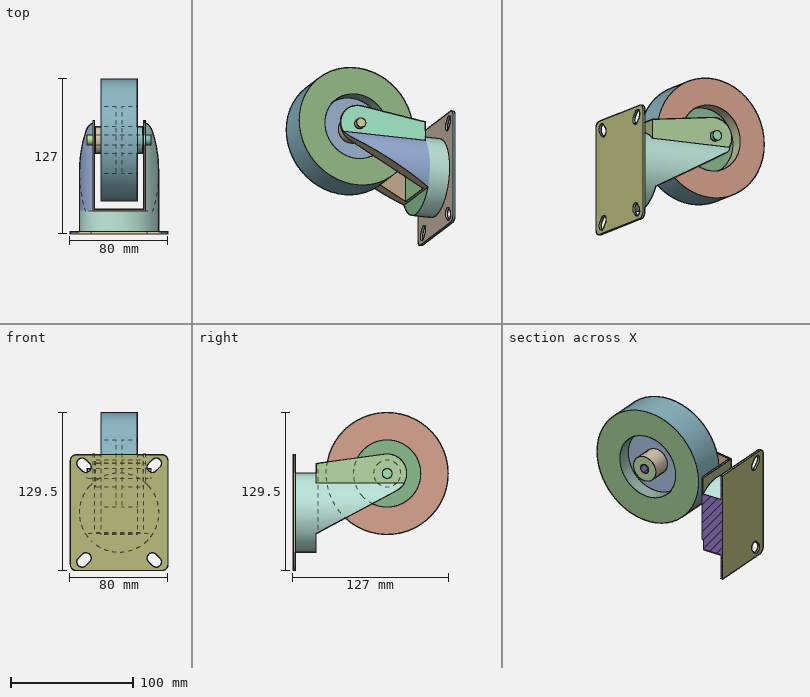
import cadquery as cq
import math


plate_width = 80.0
plate_height = 95.0
plate_thickness = 2.0
plate_corner_radius = 5.0
slot_width = 8.5
slot_centre_spacing = 4.4
slot_pattern_x = 57.5
slot_pattern_z = 77.5
slot_angle = 45.0

body_radius = 32.5
collar_length = 17.0
collar_end_y = plate_thickness + collar_length

fork_thickness = 1.5
fork_gap = 40.0
fork_width = fork_gap + 2 * fork_thickness
fork_end_radius = 16.0
fork_top_z = 40.25
fork_bottom_z = -17.25

axle_y = 77.0
axle_z = 32.0
axle_radius = 4.0
axle_length = 52.5
wheel_radius = 50.0
wheel_width = 30.0
wheel_web_thickness = 5.0
recess_radius = 27.5
hub_radius = 11.0
hub_length = 39.0


def disc(radius, length):
    """Cylinder about the axle line, centred on X = 0."""
    return (
        cq.Workplane("YZ", origin=(-length / 2, axle_y, axle_z))
        .circle(radius)
        .extrude(length)
    )


def fork_tangent_point(corner_z, side):
    """Point where a line from the fork corner at collar_end_y touches the rounded end.

    side is +1 for the upper edge and -1 for the lower edge.
    """
    to_corner_y = collar_end_y - axle_y
    to_corner_z = corner_z - axle_z
    distance = math.hypot(to_corner_y, to_corner_z)
    direction = math.atan2(to_corner_z, to_corner_y)
    angle = direction - side * math.acos(fork_end_radius / distance)
    return (
        axle_y + fork_end_radius * math.cos(angle),
        axle_z + fork_end_radius * math.sin(angle),
    )


def fork_profile(width):
    """Side outline of the fork, extruded to the given width about X = 0."""
    return (
        cq.Workplane("YZ", origin=(-width / 2, 0, 0))
        .moveTo(collar_end_y, fork_bottom_z)
        .lineTo(*fork_tangent_point(fork_bottom_z, -1))
        .threePointArc(
            (axle_y + fork_end_radius, axle_z),
            fork_tangent_point(fork_top_z, 1),
        )
        .lineTo(collar_end_y, fork_top_z)
        .close()
        .extrude(width)
    )


def round_bar(start_y, end_y):
    """Length of the round body between two Y positions."""
    return (
        cq.Workplane("XZ", origin=(0, start_y, 0))
        .circle(body_radius)
        .extrude(start_y - end_y)
    )


def make_plate():
    """Rounded plate with a diagonal slot in each corner."""
    plate = (
        cq.Workplane("XZ")
        .rect(plate_width, plate_height)
        .extrude(-plate_thickness)
        .edges("|Y")
        .fillet(plate_corner_radius)
    )
    for side_x in (-1, 1):
        for side_z in (-1, 1):
            slot = (
                cq.Workplane("XZ")
                .center(side_x * slot_pattern_x / 2, side_z * slot_pattern_z / 2)
                .slot2D(slot_centre_spacing + slot_width, slot_width, side_x * side_z * slot_angle)
                .extrude(-plate_thickness)
            )
            plate = plate.cut(slot)
    return plate


def make_fork():
    """Plate, round collar, fork arms and fixed axle in one piece."""
    collar = round_bar(plate_thickness, collar_end_y)
    side_plates = fork_profile(fork_width)
    rounded_sides = fork_profile(2 * body_radius).intersect(
        round_bar(collar_end_y, axle_y + fork_end_radius)
    )
    wheel_space_start = collar_end_y + fork_thickness
    wheel_space = (
        cq.Workplane("XZ", origin=(0, wheel_space_start, 0))
        .rect(fork_gap, 2 * plate_height)
        .extrude(-2 * wheel_radius)
    )
    arms = side_plates.union(rounded_sides).cut(wheel_space)
    axle = disc(axle_radius, axle_length)
    return make_plate().union(collar).union(arms).union(axle)


def make_wheel():
    """Wheel with a thin central web, a hub and a bore for the axle."""
    rim = disc(wheel_radius, wheel_width).cut(disc(recess_radius, wheel_width))
    web = disc(recess_radius, wheel_web_thickness)
    hub = disc(hub_radius, hub_length)
    bore = disc(axle_radius, hub_length)
    return rim.union(web).union(hub).cut(bore)


fork = make_fork()
wheel = make_wheel()

result = cq.Compound.makeCompound([fork.val(), wheel.val()])